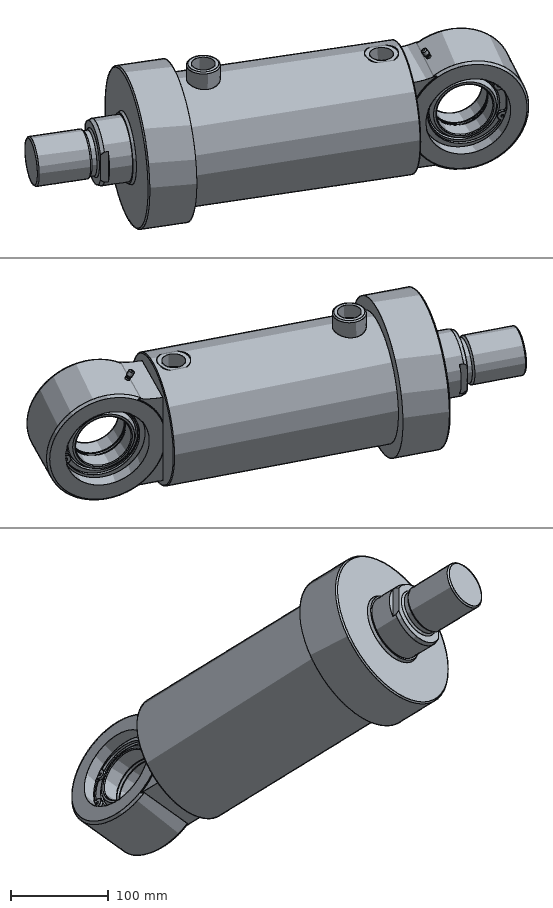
import cadquery as cq
import math


overall_length = 520.0

eye_diameter = 130.0
eye_width = 70.0
eye_chamfer = 2.5
eye_bore = 90.0
neck_width = 68.5
neck_end_height = 50.5
neck_blend_y = -36.5

barrel_diameter = 140.0
barrel_back_y = -60.0
barrel_back_chamfer = 1.0
flange_diameter = 170.0
flange_back_y = -302.0
flange_front_y = -353.5
flange_chamfer = 1.5

collar_base_diameter = 77.0
collar_tip_diameter = 74.0
collar_length = 3.0

port_diameter = 35.0
port_hole_diameter = 24.5
port_hole_depth = 15.5
drill_tip_angle = 118.0
back_port_y = -82.5
back_port_seat_depth = 1.6
front_port_y = -272.0
front_port_top_z = 88.5
boss_chamfer = 1.5

nipple_lean_angle = 30.0
nipple_base_diameter = 5.15
nipple_neck_diameter = 3.5
nipple_head_diameter = 6.0
nipple_tip_diameter = 3.0
nipple_base_radius = 67.0
nipple_neck_radius = 69.0
nipple_head_radius = 75.0
nipple_tip_radius = 76.0

rod_diameter = 70.0
rod_shoulder_y = -389.5
rod_shoulder_chamfer_length = 4.0
rod_shoulder_chamfer_depth = 1.5
flats_width = 60.0
flats_length = 8.5
undercut_diameter = 48.0
thread_diameter = 52.0
thread_start_y = -399.0
rod_tip_y = eye_diameter / 2 - overall_length
rod_tip_chamfer = 1.5

bearing_bore = 60.0
bearing_outer_width = 36.0
bearing_inner_width = 44.0
bearing_ball_diameter = 80.0
bearing_bore_chamfer = 1.0
race_chamfer = 1.5
grease_groove_width = 4.0
grease_groove_depth = 1.0
grease_hole_diameter = 3.5

ring_outer_diameter = 93.5
ring_inner_diameter = 82.5
ring_inner_shift = 2.0
ring_thickness = 3.0
ring_gap = 27.0
ring_gap_angle = 6.0
lug_diameter = 10.5
lug_hole_diameter = 3.0
lug_center_radius = 42.5


def y_cylinder(diameter, y_front, y_back):
    """Solid cylinder on the Y axis between two Y positions."""
    return cq.Workplane("XZ", origin=(0, y_back, 0)).circle(diameter / 2).extrude(y_back - y_front)


def x_cylinder(diameter, width):
    """Solid cylinder on the X axis, centred on the origin."""
    return cq.Workplane("YZ").circle(diameter / 2).extrude(width / 2, both=True)


def make_eye():
    ring = x_cylinder(eye_diameter, eye_width).faces("<X or >X").chamfer(eye_chamfer)
    blend_z = math.sqrt((eye_diameter / 2) ** 2 - neck_blend_y**2)
    neck_length = neck_blend_y - barrel_back_y
    rise = blend_z - neck_end_height
    arc_radius = (neck_length**2 + rise**2) / (2 * rise)
    arc_middle_y = barrel_back_y + neck_length / 2
    arc_middle_z = neck_end_height + arc_radius - math.sqrt(arc_radius**2 - (neck_length / 2) ** 2)
    neck = (
        cq.Workplane("YZ")
        .moveTo(0, -blend_z)
        .lineTo(barrel_back_y, -blend_z)
        .lineTo(barrel_back_y, neck_end_height)
        .threePointArc((arc_middle_y, arc_middle_z), (neck_blend_y, blend_z))
        .lineTo(0, blend_z)
        .close()
        .extrude(neck_width / 2, both=True)
    )
    return ring.union(neck)


def make_barrel():
    barrel = y_cylinder(barrel_diameter, flange_front_y, barrel_back_y)
    barrel = barrel.faces(">Y").chamfer(barrel_back_chamfer)
    flange = y_cylinder(flange_diameter, flange_front_y, flange_back_y)
    flange = flange.faces("<Y").chamfer(flange_chamfer)
    collar = (
        cq.Workplane("XZ", origin=(0, flange_front_y, 0))
        .circle(collar_base_diameter / 2)
        .workplane(offset=collar_length)
        .circle(collar_tip_diameter / 2)
        .loft()
    )
    return barrel.union(flange).union(collar)


def make_port_hole(y, top_z):
    """Drilled hole, with its conical bottom, going down from top_z."""
    radius = port_hole_diameter / 2
    tip = radius / math.tan(math.radians(drill_tip_angle / 2))
    return (
        cq.Workplane("XZ")
        .polyline([(0, 0), (radius, 0), (radius, -port_hole_depth), (0, -port_hole_depth - tip)])
        .close()
        .revolve(360, (0, 0, 0), (0, 1, 0))
        .translate((0, y, top_z))
    )


def lean_to_nipple(shape):
    """Tilt a shape built along Z onto the axis of the grease nipple."""
    return shape.rotate((0, 0, 0), (1, 0, 0), nipple_lean_angle)


def make_nipple():
    """Grease nipple, rooted inside the rim of the eye."""
    root_radius = (eye_bore + eye_diameter) / 4
    profile = [
        (0, root_radius),
        (nipple_base_diameter / 2, root_radius),
        (nipple_base_diameter / 2, nipple_base_radius),
        (nipple_neck_diameter / 2, nipple_base_radius),
        (nipple_neck_diameter / 2, nipple_neck_radius),
        (nipple_head_diameter / 2, nipple_neck_radius),
        (nipple_head_diameter / 2, nipple_head_radius),
        (nipple_tip_diameter / 2, nipple_tip_radius),
        (0, nipple_tip_radius),
    ]
    return lean_to_nipple(cq.Workplane("XZ").polyline(profile).close().revolve(360, (0, 0, 0), (0, 1, 0)))


def ring_centers():
    offset = (bearing_outer_width + ring_thickness) / 2
    return [-offset, offset]


def make_housing():
    housing = make_eye().union(make_barrel()).union(make_nipple())
    boss = (
        cq.Workplane("XY", origin=(0, front_port_y, 0))
        .circle(port_diameter / 2)
        .extrude(front_port_top_z)
        .faces(">Z")
        .chamfer(boss_chamfer)
    )
    back_port_seat_z = barrel_diameter / 2 - back_port_seat_depth
    seat_cut = (
        cq.Workplane("XY", origin=(0, back_port_y, back_port_seat_z))
        .circle(port_diameter / 2)
        .extrude(barrel_diameter)
    )
    housing = housing.union(boss).cut(seat_cut)
    housing = housing.cut(make_port_hole(front_port_y, front_port_top_z))
    housing = housing.cut(make_port_hole(back_port_y, back_port_seat_z))
    housing = housing.cut(x_cylinder(eye_bore, eye_width))
    for x in ring_centers():
        housing = housing.cut(x_cylinder(ring_outer_diameter, ring_thickness).translate((x, 0, 0)))
    return housing.cut(y_cylinder(rod_diameter, flange_front_y - collar_length, flange_back_y))


def make_rod():
    radius = rod_diameter / 2
    thread_radius = thread_diameter / 2
    undercut_radius = undercut_diameter / 2
    runout = thread_radius - undercut_radius
    profile = [
        (0, flange_back_y),
        (radius, flange_back_y),
        (radius, rod_shoulder_y + rod_shoulder_chamfer_length),
        (radius - rod_shoulder_chamfer_depth, rod_shoulder_y),
        (thread_radius, rod_shoulder_y),
        (undercut_radius, rod_shoulder_y - runout),
        (undercut_radius, thread_start_y + runout),
        (thread_radius, thread_start_y),
        (thread_radius, rod_tip_y + rod_tip_chamfer),
        (thread_radius - rod_tip_chamfer, rod_tip_y),
        (0, rod_tip_y),
    ]
    rod = cq.Workplane("XY").polyline(profile).close().revolve(360, (0, 0, 0), (0, 1, 0))
    flat_depth = (rod_diameter - flats_width) / 2
    for side in (-1, 1):
        x = side * (flats_width + flat_depth) / 2
        y = rod_shoulder_y + flats_length / 2
        rod = rod.cut(cq.Workplane("XY").box(flat_depth, flats_length, rod_diameter).translate((x, y, 0)))
    return rod


def make_bearing():
    """Spherical plain bearing as one turned solid, with a grease groove and hole in its bore."""
    ball_radius = bearing_ball_diameter / 2
    bore_radius = bearing_bore / 2
    outer_radius = eye_bore / 2
    inner_x = bearing_inner_width / 2
    outer_x = bearing_outer_width / 2
    mouth_x = outer_x - race_chamfer
    mouth_radius = math.sqrt(ball_radius**2 - mouth_x**2)
    face_radius = math.sqrt(ball_radius**2 - inner_x**2)
    middle_x = (mouth_x + inner_x) / 2
    middle_radius = math.sqrt(ball_radius**2 - middle_x**2)
    groove_x = grease_groove_width / 2
    groove_radius = bore_radius + grease_groove_depth
    half = (
        cq.Workplane("XY")
        .moveTo(0, groove_radius)
        .lineTo(groove_x, groove_radius)
        .lineTo(groove_x, bore_radius)
        .lineTo(inner_x - bearing_bore_chamfer, bore_radius)
        .lineTo(inner_x, bore_radius + bearing_bore_chamfer)
        .lineTo(inner_x, face_radius)
        .threePointArc((middle_x, middle_radius), (mouth_x, mouth_radius))
        .lineTo(outer_x, mouth_radius + race_chamfer)
        .lineTo(outer_x, outer_radius)
        .lineTo(0, outer_radius)
        .close()
        .revolve(360, (0, 0, 0), (1, 0, 0))
    )
    grease_hole = cq.Workplane("XY").circle(grease_hole_diameter / 2).extrude(outer_radius, both=True)
    return half.union(half.mirror("YZ")).cut(lean_to_nipple(grease_hole))


def make_retaining_ring(x):
    """Ring that is widest opposite its gap, with a drilled lug at each side of the gap."""
    disc = x_cylinder(ring_outer_diameter, ring_thickness)
    inside = x_cylinder(ring_inner_diameter, ring_thickness).translate((0, ring_inner_shift, 0))
    ring = disc.cut(inside)
    lug_z = (ring_gap + lug_diameter) / 2
    lug_y = math.sqrt(lug_center_radius**2 - lug_z**2)
    for z in (-lug_z, lug_z):
        lug = x_cylinder(lug_diameter, ring_thickness).translate((0, lug_y, z))
        ring = ring.union(lug.intersect(disc))
        ring = ring.cut(x_cylinder(lug_hole_diameter, ring_thickness).translate((0, lug_y, z)))
    gap = cq.Workplane("XY").box(ring_thickness, ring_outer_diameter, ring_gap)
    ring = ring.cut(gap.translate((0, ring_outer_diameter / 2, 0)))
    return ring.rotate((0, 0, 0), (1, 0, 0), ring_gap_angle).translate((x, 0, 0))


housing = make_housing()
rod = make_rod()
bearing = make_bearing()
retaining_rings = [make_retaining_ring(x) for x in ring_centers()]

result = cq.Compound.makeCompound(
    [housing.val(), rod.val(), bearing.val(), *[ring.val() for ring in retaining_rings]]
)